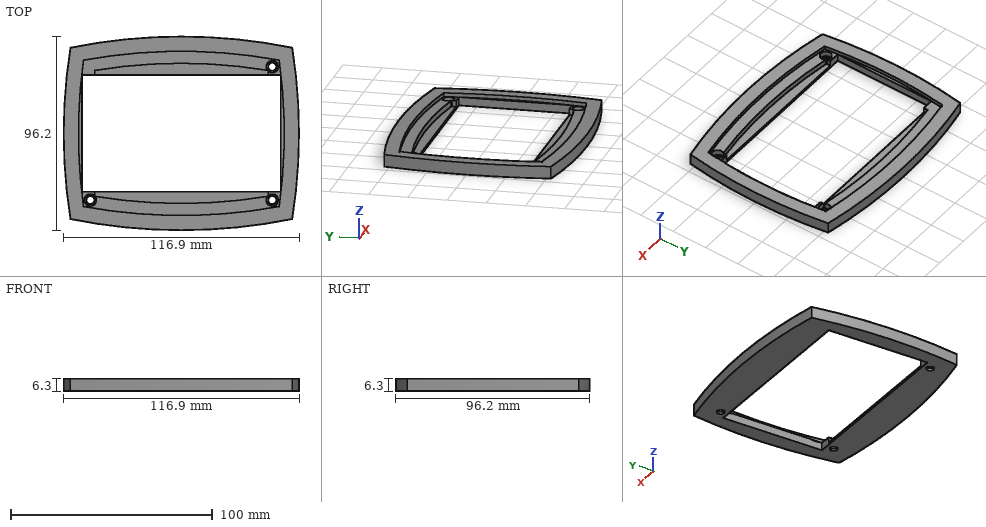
import cadquery as cq

length = 116.9
width = 96.2
height = 6.3
corner_x = 55.1
corner_y = 42.6

rim_width = 7.4
ledge_width = 6.0

ledge_depth = 2.0
pocket_floor = 1.3
ledge_level = height - ledge_depth

window_length = 98.6
window_width = 57.8
pocket_length = 86.1

hole_diameter = 4.0
counterbore_diameter = 6.0
hole_x = 45.1
hole_y = 33.1
hole_centers = [(-hole_x, -hole_y), (hole_x, -hole_y), (hole_x, hole_y)]


def bowed_prism(inset, bottom):
    """Four-arc outline moved inward by inset, extruded from bottom to the top of the frame."""
    outline = (
        cq.Workplane("XY")
        .workplane(offset=bottom)
        .moveTo(-corner_x, -corner_y)
        .threePointArc((0, -width / 2), (corner_x, -corner_y))
        .threePointArc((length / 2, 0), (corner_x, corner_y))
        .threePointArc((0, width / 2), (-corner_x, corner_y))
        .threePointArc((-length / 2, 0), (-corner_x, -corner_y))
        .close()
    )
    if inset:
        outline = outline.offset2D(-inset, "intersection")
    return outline.extrude(height - bottom)


def block(size_x, size_y):
    """Centred block as tall as the frame."""
    return cq.Workplane("XY").box(size_x, size_y, height, centered=(True, True, False))


def cylinders(diameter, bottom):
    """Upright cylinders at the hole centres, up to the top of the frame."""
    return (
        cq.Workplane("XY")
        .workplane(offset=bottom)
        .pushPoints(hole_centers)
        .circle(diameter / 2)
        .extrude(height - bottom)
    )


frame = bowed_prism(0, 0)
inner_recess = bowed_prism(rim_width, ledge_level)

window = block(window_length, window_width).intersect(bowed_prism(rim_width, 0))

pockets = bowed_prism(rim_width + ledge_width, pocket_floor).intersect(block(pocket_length, width))

result = (
    frame.cut(inner_recess)
    .cut(window)
    .cut(pockets)
    .cut(cylinders(counterbore_diameter, pocket_floor))
    .cut(cylinders(hole_diameter, 0))
)